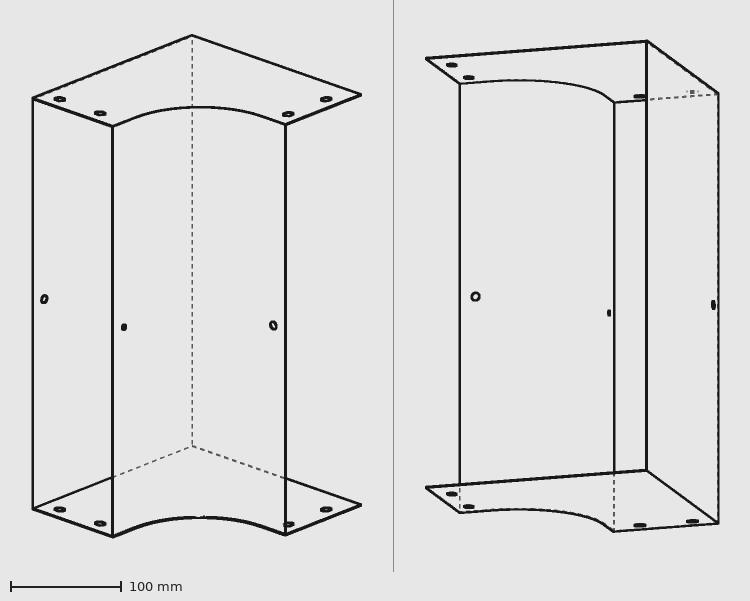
import cadquery as cq

side = 210.0
height = 400.0
leg_width = 100.0
straight_length = 30.0
sheet = 1.0

slot_length = 10.0
slot_width = 8.0
slot_spacing = 50.0
slot_edge_distance = 20.0
screw_diameter = 7.0
pilot_diameter = 5.0

bend_radius = side - leg_width - straight_length
inner_y = side - leg_width
end_offset = straight_length / 2


def elbow_profile():
    """Plan outline of the top and bottom plates, with the outer -X/-Y corner at the origin."""
    return (
        cq.Workplane("XY")
        .lineTo(leg_width, 0)
        .lineTo(leg_width, straight_length)
        .radiusArc((side - straight_length, inner_y), bend_radius)
        .lineTo(side, inner_y)
        .lineTo(side, side)
        .lineTo(0, side)
        .close()
    )


def inner_wall():
    """Curved wall with a straight flange at each end, thickened into the duct."""
    inside_x = leg_width - sheet
    inside_y = inner_y + sheet
    return (
        cq.Workplane("XY")
        .moveTo(leg_width, 0)
        .lineTo(leg_width, straight_length)
        .radiusArc((side - straight_length, inner_y), bend_radius)
        .lineTo(side, inner_y)
        .lineTo(side, inside_y)
        .lineTo(side - straight_length, inside_y)
        .radiusArc((inside_x, straight_length), -(bend_radius + sheet))
        .lineTo(inside_x, 0)
        .close()
        .extrude(height)
    )


def slots(centers, angle):
    """Slots passing through both plates."""
    return (
        cq.Workplane("XY")
        .pushPoints(centers)
        .slot2D(slot_length, slot_width, angle)
        .extrude(height)
    )


def hole_along_x(start_x, diameter):
    """Mid-height hole through one wall sheet near the -Y end."""
    return (
        cq.Workplane("YZ", origin=(start_x, end_offset, height / 2))
        .circle(diameter / 2)
        .extrude(sheet)
    )


bottom_plate = elbow_profile().extrude(sheet)
top_plate = bottom_plate.translate((0, 0, height - sheet))
outer_wall = cq.Workplane("XY").box(sheet, side, height, centered=False)
duct = bottom_plate.union(top_plate).union(outer_wall).union(inner_wall())

slot_steps = [slot_edge_distance, slot_edge_distance + slot_spacing]
front_centers = [(step, end_offset) for step in slot_steps]
side_centers = [(side - end_offset, inner_y + step) for step in slot_steps]
duct = duct.cut(slots(front_centers, 0)).cut(slots(side_centers, 90))

duct = duct.cut(hole_along_x(0, screw_diameter))
duct = duct.cut(hole_along_x(leg_width - sheet, pilot_diameter))
flange_hole = (
    cq.Workplane("XZ", origin=(side - end_offset, inner_y + sheet, height / 2))
    .circle(screw_diameter / 2)
    .extrude(sheet)
)
result = duct.cut(flange_hole)